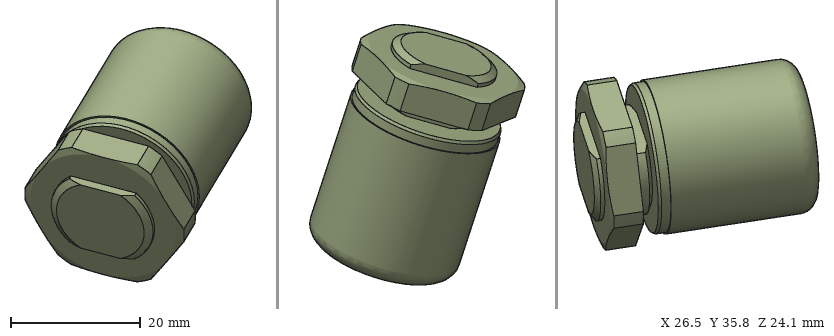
import cadquery as cq
import math

total_length = 35.78

cap_diameter = 24.1
cap_radius = cap_diameter / 2
cap_start = 9.15
lip_diameter = 23.6
lip_radius = lip_diameter / 2
lip_length = 1.95
lip_chamfer_length = 0.45
lip_chamfer_inset = 0.25
dome_fillet = 2.55
dome_rise = 1.0

nut_across_flats = cap_diameter
nut_across_corners = 26.48
nut_start = 1.4
nut_end = 6.45
nut_chamfer_length = 0.35

stud_radius = 16.92 / 2
stud_chamfer_length = 0.75
stud_chamfer_inset = 1.18
neck_radius = 17.17 / 2
neck_chamfer_length = 0.68
neck_chamfer_inset = 1.18
width_across_flats = 13.0


def revolve_profile(sketch):
    """Close a radius/length outline and turn it about the Y axis."""
    return sketch.close().revolve(360, (0, 0, 0), (0, 1, 0))


def make_cap():
    profile = (
        cq.Workplane("XY")
        .moveTo(0, cap_start)
        .lineTo(lip_radius - lip_chamfer_inset, cap_start)
        .lineTo(lip_radius, cap_start + lip_chamfer_length)
        .lineTo(lip_radius, cap_start + lip_length)
        .lineTo(cap_radius, cap_start + lip_length)
        .lineTo(cap_radius, total_length - dome_rise)
        .lineTo(0, total_length)
    )
    return revolve_profile(profile).edges("%CIRCLE").edges(">Y").fillet(dome_fillet)


def make_nut():
    hexagon_diameter = nut_across_flats / math.cos(math.pi / 6)
    hexagon = (
        cq.Workplane("XZ", origin=(0, nut_end, 0))
        .polygon(6, hexagon_diameter)
        .extrude(nut_end - nut_start)
    )
    corner_radius = nut_across_corners / 2
    envelope = (
        cq.Workplane("XY")
        .moveTo(0, nut_start)
        .lineTo(nut_across_flats / 2, nut_start)
        .lineTo(corner_radius, nut_start + nut_chamfer_length)
        .lineTo(corner_radius, nut_end)
        .lineTo(0, nut_end)
    )
    return hexagon.intersect(revolve_profile(envelope))


def make_stud():
    profile = (
        cq.Workplane("XY")
        .lineTo(stud_radius - stud_chamfer_inset, 0)
        .lineTo(stud_radius, stud_chamfer_length)
        .lineTo(stud_radius, nut_end)
        .lineTo(neck_radius, nut_end)
        .lineTo(neck_radius, cap_start - neck_chamfer_length)
        .lineTo(neck_radius - neck_chamfer_inset, cap_start)
        .lineTo(0, cap_start)
    )
    flats = cq.Workplane("XY").box(cap_diameter, total_length, width_across_flats)
    return revolve_profile(profile).intersect(flats)


result = make_cap().union(make_stud()).union(make_nut())